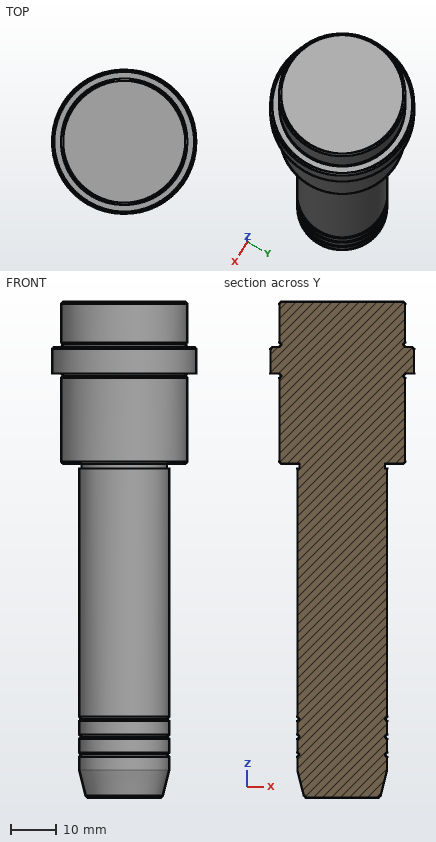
import cadquery as cq

total_length = 110.0
head_length = 9.0
collar_length = 5.9
body_length = 20.0
shaft_relief = 1.0

collar_diameter = 32.0
body_diameter = 28.0
shaft_diameter = 20.0
tip_diameter = 17.2

edge_chamfer = 0.5
shaft_relief_depth = 0.5
taper_length = 6.2
tip_chamfer = 0.5
ring_count = 3
ring_pitch = 4.0
groove_width = 1.0
groove_depth = 0.5
lowest_ring_z = 9.6

head_bottom = total_length - head_length
collar_top = head_bottom - groove_width
collar_bottom = collar_top - collar_length
body_bottom = collar_bottom - body_length
shaft_top = body_bottom - shaft_relief


def cylinder(diameter, bottom, top):
    """Solid cylinder on the Z axis between two levels."""
    return cq.Workplane("XY").workplane(offset=bottom).circle(diameter / 2).extrude(top - bottom)


def make_shaft():
    """Shaft with a tapered, chamfered tip."""
    shaft_radius = shaft_diameter / 2
    tip_radius = tip_diameter / 2
    return (
        cq.Workplane("XZ")
        .moveTo(0, 0)
        .lineTo(tip_radius - tip_chamfer, 0)
        .lineTo(tip_radius, tip_chamfer)
        .lineTo(shaft_radius, taper_length)
        .lineTo(shaft_radius, shaft_top)
        .lineTo(0, shaft_top)
        .close()
        .revolve(360, (0, 0, 0), (0, 1, 0))
    )


def make_v_groove(diameter, middle):
    """Ring cutter with a V-shaped section around a cylinder."""
    radius = diameter / 2
    return (
        cq.Workplane("XZ")
        .moveTo(radius, middle - groove_width / 2)
        .lineTo(radius - groove_depth, middle)
        .lineTo(radius, middle + groove_width / 2)
        .close()
        .revolve(360, (0, 0, 0), (0, 1, 0))
    )


head = cylinder(body_diameter, collar_top, total_length).faces(">Z").chamfer(edge_chamfer)
head = head.cut(make_v_groove(body_diameter, collar_top + groove_width / 2))
collar = cylinder(collar_diameter, collar_bottom, collar_top).faces(">Z").chamfer(edge_chamfer)
body = cylinder(body_diameter, body_bottom, collar_bottom).faces("<Z").chamfer(edge_chamfer)
body = body.cut(make_v_groove(body_diameter, collar_bottom - groove_width / 2))

shaft_neck = cylinder(shaft_diameter - 2 * shaft_relief_depth, shaft_top, body_bottom)

result = make_shaft().union(shaft_neck).union(body).union(collar).union(head)

for index in range(ring_count):
    result = result.cut(make_v_groove(shaft_diameter, lowest_ring_z + index * ring_pitch))